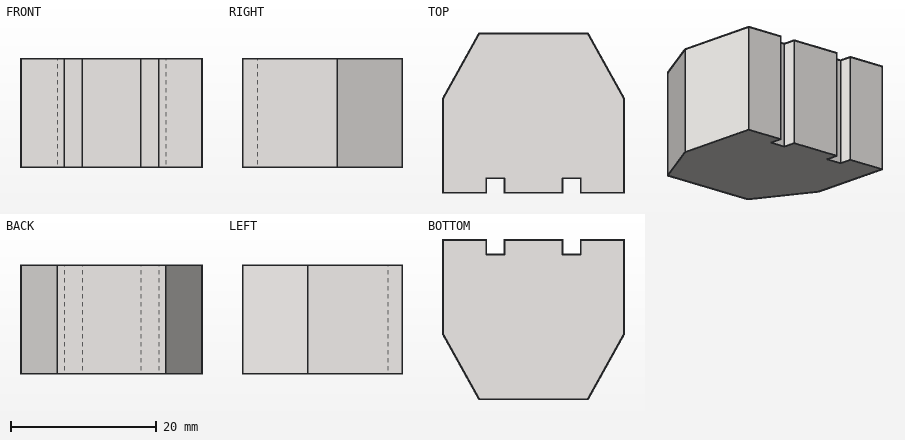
import cadquery as cq

width = 25.0
depth = 22.0
height = 15.0
corner_width = 5.0
corner_depth = 9.0

slot_width = 2.5
slot_depth = 2.0
slot_inset = 6.0

half_width = width / 2
half_depth = depth / 2


def make_block():
    """Extrude the six-sided outline, centred on the origin in X and Y."""
    shoulder_y = half_depth - corner_depth
    rear_x = half_width - corner_width
    outline = [
        (-half_width, -half_depth),
        (half_width, -half_depth),
        (half_width, shoulder_y),
        (rear_x, half_depth),
        (-rear_x, half_depth),
        (-half_width, shoulder_y),
    ]
    return cq.Workplane("XY").polyline(outline).close().extrude(height)


def make_slots():
    """Full-height cutters for the pair of front slots."""
    slot_x = half_width - slot_inset - slot_width / 2
    return (
        cq.Workplane("XY")
        .pushPoints([(-slot_x, -half_depth), (slot_x, -half_depth)])
        .rect(slot_width, 2 * slot_depth)
        .extrude(height)
    )


result = make_block().cut(make_slots())